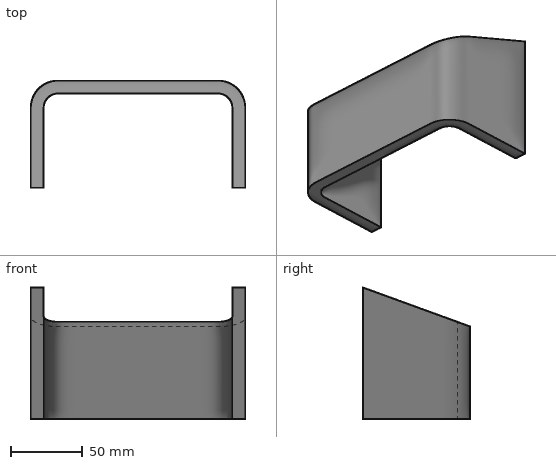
import cadquery as cq
import math

WIDTH = 150.98
DEPTH = 75.49
FRONT_HEIGHT = 92.57
THICKNESS = 9.2
INNER_BEND_RADIUS = 10.0
TOP_SLOPE_DEG = 20.0

outer_bend_radius = INNER_BEND_RADIUS + THICKNESS
back_height = FRONT_HEIGHT - DEPTH * math.tan(math.radians(TOP_SLOPE_DEG))


def rounded_channel_block(width, depth, bend_radius):
    """Full-height block from Y = 0 to depth with its two back corners rounded."""
    block = cq.Workplane("XY").box(width, depth, FRONT_HEIGHT, centered=(True, False, False))
    return block.edges("|Z and >Y").fillet(bend_radius)


def bent_channel():
    """U-shaped wall of constant thickness, open toward -Y."""
    outside = rounded_channel_block(WIDTH, DEPTH, outer_bend_radius)
    inside = rounded_channel_block(WIDTH - 2 * THICKNESS, DEPTH - THICKNESS, INNER_BEND_RADIUS)
    return outside.cut(inside)


def sloped_envelope():
    """Side profile with the sloping top, extruded over the full width."""
    profile = [(0, 0), (DEPTH, 0), (DEPTH, back_height), (0, FRONT_HEIGHT)]
    return cq.Workplane("YZ").polyline(profile).close().extrude(WIDTH / 2, both=True)


result = bent_channel().intersect(sloped_envelope())